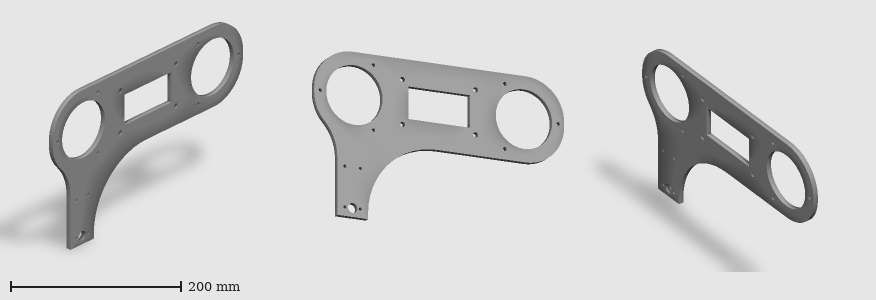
import cadquery as cq
import math

thickness = 6.5
panel_length = 325.0
panel_height = 106.0
corner_radius = 50.0
total_height = 203.0

stem_center_y = -112.5
stem_width = 40.0
inner_fillet_radius = 90.0
outer_fillet_radius = 61.5

opening_diameter = 73.0
opening_offset = 110.0
screw_circle_center_offset = 108.5
screw_circle_radius = 46.0
opening_screw_diameter = 4.5

window_length = 80.0
window_height = 40.0
window_hole_diameter = 6.2
window_hole_spacing_y = 95.0
window_hole_spacing_z = 55.2

stem_screw_diameter = 4.0
stem_screw_spacing_y = 20.0
stem_screw_spacing_z = 50.0
stem_hole_diameter = 12.0
stem_hole_edge_distance = 11.0

half_length = panel_length / 2
half_height = panel_height / 2
bottom_z = half_height - total_height
stem_inner_y = stem_center_y + stem_width / 2
stem_outer_y = stem_center_y - stem_width / 2
stem_hole_z = bottom_z + stem_hole_edge_distance


def point_on_circle(center, radius, degrees):
    angle = math.radians(degrees)
    return (center[0] + radius * math.cos(angle), center[1] + radius * math.sin(angle))


def make_plate():
    corner_y = half_length - corner_radius
    corner_z = half_height - corner_radius

    lower_corner = (-corner_y, -corner_z)
    fillet_y = stem_outer_y - outer_fillet_radius
    center_distance = corner_radius + outer_fillet_radius
    fillet_drop = math.sqrt(center_distance**2 - (fillet_y - lower_corner[0])**2)
    outer_fillet = (fillet_y, lower_corner[1] - fillet_drop)
    fillet_angle = math.degrees(math.atan2(fillet_drop, lower_corner[0] - fillet_y))
    tangent_point = point_on_circle(outer_fillet, outer_fillet_radius, fillet_angle)

    inner_fillet = (stem_inner_y + inner_fillet_radius, -half_height - inner_fillet_radius)

    return (
        cq.Workplane("YZ", origin=(-thickness / 2, 0, 0))
        .moveTo(-corner_y, half_height)
        .lineTo(corner_y, half_height)
        .threePointArc(
            point_on_circle((corner_y, corner_z), corner_radius, 45), (half_length, corner_z)
        )
        .lineTo(half_length, -corner_z)
        .threePointArc(
            point_on_circle((corner_y, -corner_z), corner_radius, -45), (corner_y, -half_height)
        )
        .lineTo(inner_fillet[0], -half_height)
        .threePointArc(
            point_on_circle(inner_fillet, inner_fillet_radius, 135), (stem_inner_y, inner_fillet[1])
        )
        .lineTo(stem_inner_y, bottom_z)
        .lineTo(stem_outer_y, bottom_z)
        .lineTo(stem_outer_y, outer_fillet[1])
        .threePointArc(
            point_on_circle(outer_fillet, outer_fillet_radius, fillet_angle / 2), tangent_point
        )
        .threePointArc(
            point_on_circle(lower_corner, corner_radius, 180 + fillet_angle / 2),
            (-half_length, -corner_z),
        )
        .lineTo(-half_length, corner_z)
        .threePointArc(
            point_on_circle((-corner_y, corner_z), corner_radius, 135), (-corner_y, half_height)
        )
        .close()
        .extrude(thickness)
    )


def cutting_plane():
    """Sketch plane through the middle of the plate thickness."""
    return cq.Workplane("YZ")


def cut_holes(plate, points, diameter):
    pins = cutting_plane().pushPoints(points).circle(diameter / 2).extrude(thickness, both=True)
    return plate.cut(pins)


def rectangle_corners(center, spacing_y, spacing_z):
    return [
        (center[0] + side * spacing_y / 2, center[1] + level * spacing_z / 2)
        for side in (-1, 1)
        for level in (-1, 1)
    ]


result = make_plate()

for side in (-1, 1):
    result = cut_holes(result, [(side * opening_offset, 0)], opening_diameter)
    first_angle = 0 if side > 0 else 180
    screw_center = (side * screw_circle_center_offset, 0)
    screws = [
        point_on_circle(screw_center, screw_circle_radius, first_angle + step)
        for step in (0, 120, 240)
    ]
    result = cut_holes(result, screws, opening_screw_diameter)

window = cutting_plane().rect(window_length, window_height).extrude(thickness, both=True)
result = result.cut(window)
window_holes = rectangle_corners((0, 0), window_hole_spacing_y, window_hole_spacing_z)
result = cut_holes(result, window_holes, window_hole_diameter)

stem_screw_center = (stem_center_y, stem_hole_z + stem_screw_spacing_z / 2)
stem_screws = rectangle_corners(stem_screw_center, stem_screw_spacing_y, stem_screw_spacing_z)
result = cut_holes(result, stem_screws, stem_screw_diameter)
result = cut_holes(result, [(stem_center_y, stem_hole_z)], stem_hole_diameter)